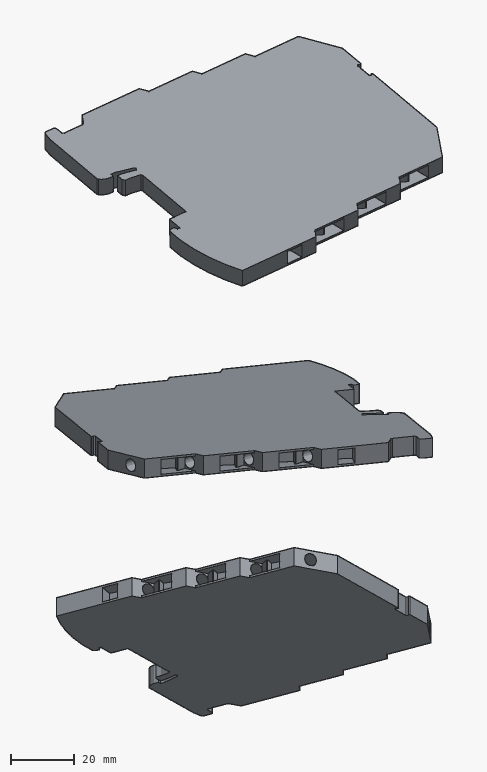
import cadquery as cq
import math

width = 93.1
height = 101.2
thickness = 6.3

arc_setback = 1 - math.sqrt(0.5)

tier_count = 4
tier_pitch = 18.6
top_tier_half_width = 38.0
tier_step = (width / 2 - top_tier_half_width) / (tier_count - 1)
ledge_angle = 30.0
ledge_slope = math.tan(math.radians(ledge_angle))
shoulder_width = 13.1
shoulder_drop = shoulder_width * ledge_slope

notch_center = -12.0
notch_lip_half = 2.8
notch_mouth_half = 3.1
notch_belly_half = 3.3
notch_floor_half = 3.0
notch_lip_drop = 0.3
notch_belly_drop = 0.9
notch_depth = 1.4

recess_top = 12.5
rail_level = 6.1
recess_left = -10.6
recess_corner_width = 0.7
recess_corner_height = 0.3
recess_right = 12.0

hook_back = 17.5
hook_throat = 5.3
hook_tip = 16.4
hook_tip_top = 4.8
hook_bottom = 2.5
hook_corner = 1.0
belly_start = 22.8
belly_middle = (35.0, 4.7)
right_side_bottom = 9.0

latch_face_knee = (-11.9, 8.7)
latch_corner_width = 1.0
latch_corner_height = 0.7
latch_left = -15.3
latch_knee = 7.5
slot_right_top = -14.2
slot_left_top = -15.4
slot_crown = 13.0
slot_left_bottom = -17.1
slot_knee = 6.3

foot_right = -15.9
foot_top = 5.0
foot_flat_right = -18.0
foot_bevel_end = (-17.4, 0.3)
foot_round_middle = (-16.5, 1.5)
foot_round_top = 3.3
foot_flat_left = -42.7
foot_ramp_end = (-45.7, 0.5)
foot_corner_middle = (-46.3, 0.8)
foot_corner_top = 1.4
foot_shoulder_radius = 1.0
waist_left = -42.6
waist_top = 13.4
waist_bevel_width = 0.3
waist_bevel_height = 0.7
waist_corner_width = 0.4
waist_corner_height = 0.7
left_side_bottom = waist_top + (width / 2 + waist_left - waist_bevel_width) * ledge_slope

pocket_height = 4.9
pocket_offset = 5.6
pocket_length = 5.7
pocket_depth = 6.1
pocket_tilt = 10.0
pocket_overcut = 1.0

relief_depth = 3.7
relief_back_depth = 2.1
hole_diameter = 4.0
hole_depth = 8.1
hole_rise = 2.8


def tier_half_width(tier):
    return top_tier_half_width + tier * tier_step


def tier_top(tier):
    """Height of the upper outer corner of a tier."""
    return height - shoulder_drop - tier * tier_pitch


def stepped_side():
    """Right-hand points from the top edge down to the lowest tier's upper corner."""
    points = [(top_tier_half_width - shoulder_width, height)]
    for tier in range(tier_count):
        if tier > 0:
            points.append((tier_half_width(tier - 1), tier_top(tier) + tier_step * ledge_slope))
        points.append((tier_half_width(tier), tier_top(tier)))
    return points


def marker_notch():
    """Notch points from its left mouth edge to its right one."""
    half_profile = [
        (notch_mouth_half, 0),
        (notch_lip_half, notch_lip_drop),
        (notch_belly_half, notch_belly_drop),
        (notch_floor_half, notch_depth),
    ]
    left = [(notch_center - half, height - drop) for half, drop in half_profile]
    right = [(notch_center + half, height - drop) for half, drop in reversed(half_profile)]
    return left + right


def housing():
    right_side = stepped_side()
    left_side = [(-x, y) for x, y in reversed(right_side)]
    half_width = width / 2
    outline = (
        cq.Workplane("XY", origin=(0, 0, -thickness / 2))
        .polyline(left_side + marker_notch() + right_side)
        .lineTo(half_width, right_side_bottom)
        .threePointArc(belly_middle, (belly_start, hook_bottom))
        .lineTo(hook_tip + hook_corner, hook_bottom)
        .threePointArc(
            (hook_tip + hook_corner * arc_setback, hook_bottom + hook_corner * arc_setback),
            (hook_tip, hook_bottom + hook_corner),
        )
        .lineTo(hook_tip, hook_tip_top)
        .lineTo(hook_back, hook_throat)
        .lineTo(hook_back, rail_level)
        .lineTo(recess_right, rail_level)
        .lineTo(recess_right, recess_top)
        .lineTo(recess_left, recess_top)
        .lineTo(recess_left - recess_corner_width, recess_top - recess_corner_height)
        .lineTo(*latch_face_knee)
        .lineTo(latch_face_knee[0], rail_level + latch_corner_height)
        .lineTo(latch_face_knee[0] - latch_corner_width, rail_level)
        .lineTo(latch_left, rail_level)
        .lineTo(latch_left, latch_knee)
        .lineTo(slot_right_top, recess_top)
        .threePointArc(((slot_left_top + slot_right_top) / 2, slot_crown), (slot_left_top, recess_top))
        .lineTo(slot_left_bottom, slot_knee)
        .lineTo(slot_left_bottom, foot_top)
        .lineTo(foot_right, foot_top)
        .lineTo(foot_right, foot_round_top)
        .threePointArc(foot_round_middle, foot_bevel_end)
        .lineTo(foot_flat_right, 0)
        .lineTo(foot_flat_left, 0)
        .lineTo(*foot_ramp_end)
        .threePointArc(foot_corner_middle, (-half_width, foot_corner_top))
        .lineTo(-half_width, foot_top - foot_shoulder_radius)
        .threePointArc(
            (-half_width + foot_shoulder_radius * arc_setback, foot_top - foot_shoulder_radius * arc_setback),
            (-half_width + foot_shoulder_radius, foot_top),
        )
        .lineTo(waist_left - waist_corner_width, foot_top)
        .lineTo(waist_left, foot_top + waist_corner_height)
        .lineTo(waist_left, waist_top - waist_bevel_height)
        .lineTo(waist_left - waist_bevel_width, waist_top)
        .lineTo(-half_width, left_side_bottom)
        .close()
    )
    return outline.extrude(thickness)


def pocket_slab(points):
    """Prism of pocket height, centred in the thickness."""
    return cq.Workplane("XY").polyline(points).close().extrude(pocket_height / 2, both=True)


def wire_pocket(tier):
    """Pocket in a left tier side that dips as it goes inward."""
    outside = pocket_overcut
    mouth_top = tier_top(tier) - pocket_offset
    dip = math.tan(math.radians(pocket_tilt))
    floor_setback = pocket_length * math.sin(math.radians(pocket_tilt)) * math.cos(math.radians(pocket_tilt))
    lower_depth = pocket_depth - floor_setback
    side = -tier_half_width(tier)
    mouth_bottom = mouth_top - pocket_length

    def wall_point(mouth_y, depth):
        return (side + depth, mouth_y - depth * dip)

    return pocket_slab([
        wall_point(mouth_top, -outside),
        wall_point(mouth_top, pocket_depth),
        wall_point(mouth_bottom, lower_depth),
        wall_point(mouth_bottom, -outside),
    ])


def screw_relief(tier):
    """Right-angled cut that carries the ledge below a left tier on into the tier side.

    It opens into the wire pocket above it.
    """
    outside = tier_step
    side = -tier_half_width(tier)
    ledge_top = tier_top(tier + 1) + tier_step * ledge_slope
    vertex = (side + relief_depth, ledge_top + relief_depth * ledge_slope)
    back_top = vertex[1] + (relief_depth - relief_back_depth) / ledge_slope
    pocket_middle = tier_top(tier) - pocket_offset - pocket_length / 2
    return pocket_slab([
        (side - outside, ledge_top - outside * ledge_slope),
        vertex,
        (side + relief_back_depth, back_top),
        (side + relief_back_depth, pocket_middle),
        (side - outside, pocket_middle),
    ])


def screw_hole(tier):
    """Round hole square to the slope above a left tier."""
    into_slope = cq.Vector(math.sin(math.radians(ledge_angle)), -math.cos(math.radians(ledge_angle)), 0)
    mouth = cq.Vector(-tier_half_width(tier) + hole_rise / ledge_slope, tier_top(tier) + hole_rise, 0)
    return cq.Workplane(obj=cq.Solid.makeCylinder(hole_diameter / 2, hole_depth, mouth, into_slope))


def terminal_openings():
    """All wire pockets, reliefs and screw holes of the left side."""
    openings = []
    for tier in range(tier_count):
        openings.append(wire_pocket(tier))
        openings.append(screw_hole(tier))
        if tier < tier_count - 1:
            openings.append(screw_relief(tier))
    return openings


result = housing()
for opening in terminal_openings():
    result = result.cut(opening).cut(opening.mirror("YZ"))